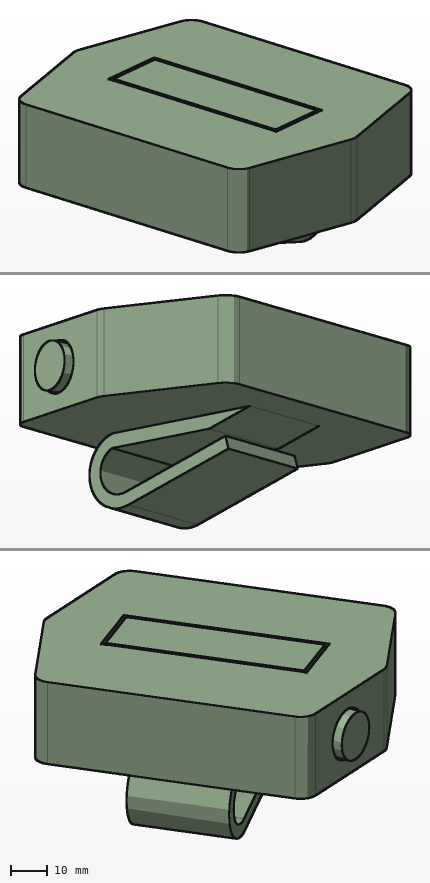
import cadquery as cq
import math

housing_depth = 77.4
housing_height = 25.0
housing_length = 99.6
side_angle = math.radians(14.5)
corner_radius = 5.0

pocket_length = 60.0
pocket_width = 20.0
pocket_depth = 2.0
display_gap = 1.0

button_diameter = 14.0
button_hole_diameter = 15.0
button_hole_depth = 2.5
button_protrusion = 2.7

clip_width = 30.0
clip_thickness = 4.0
clip_root_thickness = 4.2
clip_inner_radius = 7.1
clip_bend_y = 21.8
clip_drop = 21.7
clip_angle = 16.0
clip_arm_length = 37.5
clip_taper_start_y = -10.4

half_depth = housing_depth / 2
tip_half_width = housing_length / 2 + corner_radius * (1 / math.cos(side_angle) - 1)
flat_half_width = tip_half_width - half_depth * math.tan(side_angle)


def button_plane():
    """Plane at the middle of the button face, with its normal pointing outward."""
    center = (-(tip_half_width + flat_half_width) / 2, half_depth / 2, housing_height / 2)
    outward = (-half_depth, tip_half_width - flat_half_width, 0)
    return cq.Plane(origin=center, xDir=(0, 0, 1), normal=outward)


def make_shell():
    """Rounded hexagonal block."""
    outline = [
        (tip_half_width, 0),
        (flat_half_width, half_depth),
        (-flat_half_width, half_depth),
        (-tip_half_width, 0),
        (-flat_half_width, -half_depth),
        (flat_half_width, -half_depth),
    ]
    block = cq.Workplane("XY").polyline(outline).close().extrude(housing_height)
    return block.edges("|Z").fillet(corner_radius)


def make_clip():
    """Bent strip: tapered root under the housing, round bend and sloping free arm."""
    outer_radius = clip_inner_radius + clip_thickness
    bend_z = outer_radius - clip_drop
    slope = math.radians(clip_angle)
    arm_y = -clip_arm_length * math.cos(slope)
    arm_z = clip_arm_length * math.sin(slope)

    def bend_start(radius, z):
        """Point where the bend of this radius leaves the root at height z."""
        return (clip_bend_y + math.sqrt(radius**2 - (z - bend_z) ** 2), z)

    def bend_side(radius):
        return (clip_bend_y + radius, bend_z)

    def bend_end(radius):
        return (clip_bend_y - radius * math.sin(slope), bend_z - radius * math.cos(slope))

    def arm_end(radius):
        y, z = bend_end(radius)
        return (y + arm_y, z + arm_z)

    taper_end_y = clip_taper_start_y - clip_root_thickness / math.tan(slope)
    profile = (
        cq.Workplane("YZ")
        .moveTo(taper_end_y, 0)
        .lineTo(*bend_start(outer_radius, 0))
        .threePointArc(bend_side(outer_radius), bend_end(outer_radius))
        .lineTo(*arm_end(outer_radius))
        .lineTo(*arm_end(clip_inner_radius))
        .lineTo(*bend_end(clip_inner_radius))
        .threePointArc(bend_side(clip_inner_radius), bend_start(clip_inner_radius, -clip_root_thickness))
        .lineTo(clip_taper_start_y, -clip_root_thickness)
        .close()
    )
    return profile.extrude(clip_width / 2, both=True)


def make_display_block(length, width):
    """Rectangular block reaching from the pocket floor to the housing top."""
    floor = cq.Workplane("XY").workplane(offset=housing_height - pocket_depth)
    return floor.rect(length, width).extrude(pocket_depth)


def make_housing():
    pocket = make_display_block(pocket_length, pocket_width)
    button_hole = cq.Workplane(button_plane()).circle(button_hole_diameter / 2).extrude(-button_hole_depth)
    return make_shell().union(make_clip()).cut(pocket).cut(button_hole)


def make_display():
    return make_display_block(pocket_length - 2 * display_gap, pocket_width - 2 * display_gap)


def make_button():
    """Plug standing on the floor of the button hole."""
    hole_floor = cq.Workplane(button_plane()).workplane(offset=-button_hole_depth)
    return hole_floor.circle(button_diameter / 2).extrude(button_hole_depth + button_protrusion)


housing = make_housing()
display = make_display()
button = make_button()

result = cq.Compound.makeCompound([housing.solids().val(), display.val(), button.val()])